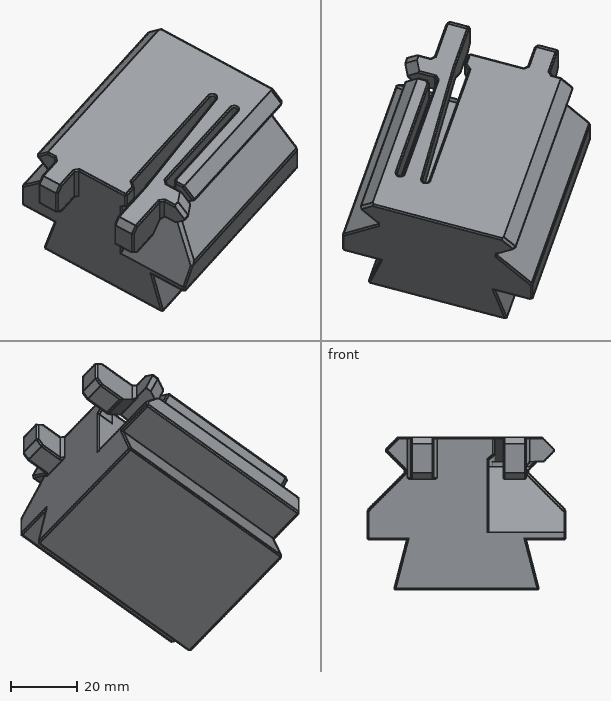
import cadquery as cq
import math

width = 60.0
total_length = 70.0
height = 46.1
edge_break = 0.5
dovetail_bottom_half = 22.0
dovetail_top_half = 18.05
flange_bottom = 15.1
flange_top = 24.1
waist_half = 18.8
waist_height = 1.05
tip_half = 24.4
tip_height = 0.5
head_back_bevel = 2 * edge_break
body_length = width

flange_half = width / 2
waist_bottom = flange_top + flange_half - waist_half
waist_top = waist_bottom + waist_height
tip_bottom = waist_top + tip_half - waist_half
tip_top = tip_bottom + tip_height
head_top_half = tip_half - (height - tip_top)

tab_length = total_length - body_length
tab_width = 7.0
tab_height = 12.75
tab_bottom = height - tab_height
tab_nose = 2.0
gusset = 1.0
fixed_tab_left = -16.9
arm_left = 11.05
arm_right = arm_left + tab_width

slot_radius = 1.0
slot_end = 46.5
left_slot_x = 7.8
right_slot_x = 15.8
slot_wall_left = left_slot_x - slot_radius
slot_wall_right = right_slot_x + slot_radius
arm_side_right = right_slot_x - slot_radius
arm_taper_end = 6.3
arm_underside = 38.7
slot_floor = 37.2

pocket_foot = 17.35
pocket_back = 12.75
flank_bevel = 1.05
lip_right = 8.5
lip_front_back = 4.2
lip_wall_back = 5.6
lip_corner_z = 40.75
lip_wall_z = 39.35

catch_front = 5.05
catch_back = 11.0
catch_ramp_front = 7.0
catch_overhang = 2.0

tolerance = 0.01


def extrude_y(points, y_start, y_end):
    """Solid from (X, Z) points, running along Y."""
    plane = cq.Workplane("XZ", origin=(0, y_start, 0))
    return plane.polyline(points).close().extrude(y_start - y_end)


def extrude_z(points, z_start, z_end):
    """Solid from (X, Y) points, running along Z."""
    plane = cq.Workplane("XY", origin=(0, 0, z_start))
    return plane.polyline(points).close().extrude(z_end - z_start)


def extrude_x(points, x_start, x_end):
    """Solid from (Y, Z) points, running along X."""
    plane = cq.Workplane("YZ", origin=(x_start, 0, 0))
    return plane.polyline(points).close().extrude(x_end - x_start)


def make_body():
    right = [
        (dovetail_bottom_half, 0),
        (dovetail_top_half, flange_bottom),
        (flange_half, flange_bottom),
        (flange_half, flange_top),
        (waist_half, waist_bottom),
        (waist_half, waist_top),
        (tip_half, tip_bottom),
        (tip_half, tip_top),
        (head_top_half, height),
    ]
    left = [(-x, z) for x, z in reversed(right)]
    body = extrude_y(right + left, 0, body_length)
    corners = ((flange_half, flange_bottom), (flange_half, flange_top), (dovetail_bottom_half, 0))
    long_edges = body.edges("|Y").filter(
        lambda edge: any(
            math.hypot(abs(edge.Center().x) - x, edge.Center().z - z) < tolerance for x, z in corners
        )
    )
    return long_edges.chamfer(edge_break)


def make_fixed_tab():
    """Tab on the front face, flared by a gusset at its root."""
    left = fixed_tab_left
    right = left + tab_width
    plan = [
        (left - gusset, 0),
        (left, -gusset),
        (left, -tab_length),
        (right, -tab_length),
        (right, -gusset),
        (right + gusset, 0),
    ]
    return trim_nose(extrude_z(plan, tab_bottom, height))


def trim_nose(tab):
    return tab.faces("<Y").edges("|X").chamfer(tab_nose)


def make_pocket():
    """Open sloped pocket at the front right, leaving the lip that stops the arm."""
    side = [
        (0, pocket_foot),
        (pocket_back, slot_floor),
        (pocket_back, height),
        (0, height),
    ]
    pocket = extrude_x(side, slot_wall_left, flange_half)
    lip_plan = [
        (slot_wall_left, 0),
        (lip_right, 0),
        (lip_right, lip_front_back),
        (slot_wall_left, lip_wall_back),
    ]
    lip_face = [
        (slot_wall_left, lip_wall_z),
        (lip_right, lip_corner_z),
        (lip_right, height),
        (slot_wall_left, height),
    ]
    lip = extrude_z(lip_plan, lip_wall_z, height).intersect(extrude_y(lip_face, 0, lip_wall_back))
    return pocket.cut(lip)


def make_arm_space():
    """Space around the spring arm, behind the pocket."""
    plan = [
        (slot_wall_left, pocket_back),
        (slot_wall_right + gusset, pocket_back),
        (slot_wall_right, pocket_back + gusset),
        (slot_wall_right, slot_end + slot_radius),
        (slot_wall_left, slot_end + slot_radius),
    ]
    space = extrude_z(plan, slot_floor, height)
    return space.edges("|Z and >Y").fillet(slot_radius)


def make_arm():
    root = slot_end + slot_radius
    diagonal = slot_radius * math.sqrt(0.5)
    plan = (
        cq.Workplane("XY", origin=(0, 0, tab_bottom))
        .moveTo(left_slot_x, root)
        .threePointArc((left_slot_x + diagonal, slot_end + diagonal), (left_slot_x + slot_radius, slot_end))
        .lineTo(arm_left, arm_taper_end)
        .lineTo(arm_left, -tab_length)
        .lineTo(arm_right, -tab_length)
        .lineTo(arm_right, catch_front - gusset)
        .lineTo(arm_right + gusset, catch_front)
        .lineTo(arm_right + gusset, catch_back)
        .lineTo(arm_side_right + gusset, catch_back)
        .lineTo(arm_side_right, catch_back + gusset)
        .lineTo(arm_side_right, slot_end)
        .threePointArc((right_slot_x - diagonal, slot_end + diagonal), (right_slot_x, root))
        .close()
    )
    arm = trim_nose(plan.extrude(tab_height))
    below_arm = [
        (0, tab_bottom),
        (arm_underside - tab_bottom, arm_underside),
        (root, arm_underside),
        (root, tab_bottom),
    ]
    return arm.cut(extrude_x(below_arm, 0, flange_half))


def catch_outline(overhang):
    """Outline of the catch: the head's edge, moved outwards by the overhang."""
    underside_half = waist_half + arm_underside - waist_top
    return [
        (arm_side_right + gusset, arm_underside),
        (underside_half + overhang, arm_underside),
        (tip_half + overhang, tip_bottom),
        (tip_half + overhang, tip_top),
        (head_top_half + overhang, height),
        (arm_side_right + gusset, height),
    ]


def make_catch():
    nose = extrude_y(catch_outline(catch_overhang), catch_front, catch_ramp_front)
    ramp = (
        cq.Workplane("XZ", origin=(0, catch_ramp_front, 0))
        .polyline(catch_outline(catch_overhang)).close()
        .workplane(offset=catch_ramp_front - catch_back)
        .polyline(catch_outline(0)).close()
        .loft(ruled=True)
    )
    return nose.union(ramp)


def is_top_rim(edge):
    """Edges around the top face, except the head's long sides, the tab noses and the back."""
    box = edge.BoundingBox()
    centre = edge.Center()
    on_top = box.zmin > height - tolerance
    long_side = abs(centre.x) > head_top_half - tolerance and box.ylen > tolerance
    nose = centre.y < -gusset and box.xlen > tolerance
    back = centre.y > body_length - tolerance
    return on_top and not (long_side or nose or back)


def is_tab_side_rim(edge):
    """Edges around the side faces of both tabs and their gussets."""
    box = edge.BoundingBox()
    in_front = edge.Center().y < -tolerance
    across = box.xlen > tab_width - tolerance
    root_corner = box.zlen > tab_height - tolerance
    return in_front and not (across or root_corner)


def is_front_rim(edge):
    """Edges around the front face, except at the fixed tab and the foot of the pocket."""
    box = edge.BoundingBox()
    centre = edge.Center()
    on_front = box.ymin > -tolerance and box.ymax < tolerance
    beside_tab = abs(centre.x - fixed_tab_left - tab_width / 2) < tab_width / 2 + gusset + tolerance
    at_tab = beside_tab and centre.z < height - tolerance
    at_foot = abs(centre.z - pocket_foot) < tolerance
    return on_front and not (at_tab or at_foot)


def is_head_end_rim(edge):
    """Outer edges of the head's end face above the pocket."""
    box = edge.BoundingBox()
    on_end = box.ymin > pocket_back - tolerance and box.ymax < pocket_back + tolerance
    return on_end and box.xmin > slot_wall_right + gusset + tolerance and box.zlen > tolerance


def is_broken(edge):
    tests = (is_top_rim, is_tab_side_rim, is_front_rim, is_head_end_rim)
    return any(test(edge) for test in tests)


def is_head_flank(edge):
    centre = edge.Center()
    return centre.z > waist_top + tolerance and abs(centre.x) > tolerance


def break_back(part):
    """Chamfer the back face, with a longer bevel in Y along the flanks of the head."""
    flanks = part.faces(">Y").edges().filter(is_head_flank)
    part = flanks.chamfer(edge_break, head_back_bevel)
    others = part.faces(">Y").edges().filter(lambda edge: not is_head_flank(edge))
    return others.chamfer(edge_break)


def make_bevel_step(lower, upper):
    """Wedge along the pocket's outer edge between two stations (half width, Z, bevel)."""
    run = pocket_back / (slot_floor - pocket_foot)
    corners = []
    for half, z, bevel in (lower, upper):
        y = (z - pocket_foot) * run
        corners.append([(half - bevel, y), (half, y), (half, y + bevel)])
    base = cq.Workplane("XY", origin=(0, 0, lower[1])).polyline(corners[0]).close()
    top = base.workplane(offset=upper[1] - lower[1]).polyline(corners[1]).close()
    return top.loft(ruled=True)


def bevel_pocket_side(part):
    """Bevel the sloped floor's outer edge along the flange side, flank and waist."""
    corner_low = flange_top - edge_break
    corner_drop = edge_break * math.sqrt(0.5)
    side_low = (flange_half, pocket_foot, edge_break)
    side_high = (flange_half, corner_low, edge_break)
    flank_low = (flange_half - corner_drop, flange_top + corner_drop, flank_bevel)
    flank_high = (waist_half, waist_bottom, flank_bevel)
    waist_low = (waist_half, waist_bottom, edge_break)
    waist_high = (waist_half, waist_top, edge_break)
    steps = (
        (side_low, side_high),
        (side_high, flank_low),
        (flank_low, flank_high),
        (waist_low, waist_high),
    )
    for lower, upper in steps:
        part = part.cut(make_bevel_step(lower, upper))
    return part


part = make_body().union(make_fixed_tab()).cut(make_pocket()).cut(make_arm_space())
part = part.union(make_arm()).union(make_catch())
part = part.edges().filter(is_broken).chamfer(edge_break)
result = bevel_pocket_side(break_back(part))